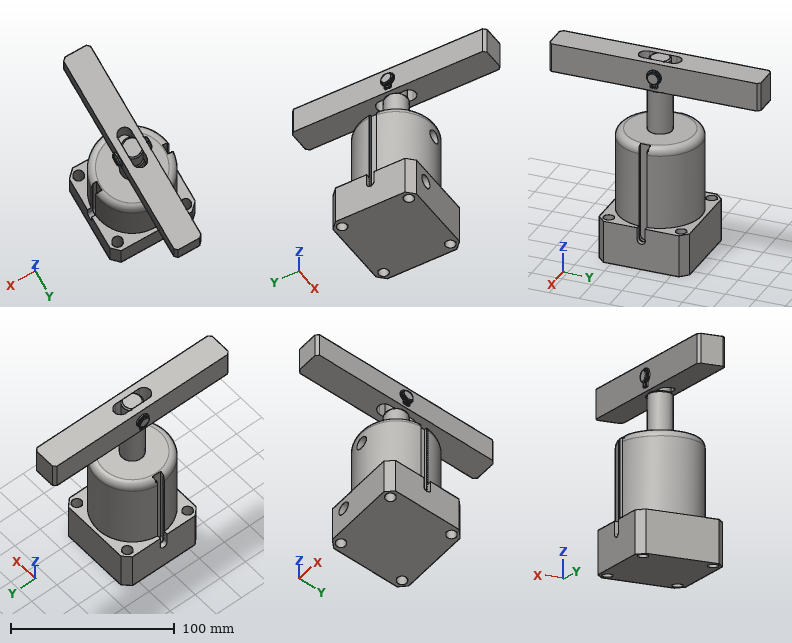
import cadquery as cq

base_width = 60.0
base_height = 28.3
base_chamfer = 5.0
barrel_diameter = 55.0
barrel_radius = barrel_diameter / 2
housing_height = 83.0
barrel_edge_fillet = 5.0
mount_hole_spacing = 48.0
mount_hole_diameter = 7.0

groove_mouth_width = 5.3
groove_inner_width = 6.5
groove_lip_x = 26.2
groove_floor_x = 23.2
groove_bottom_z = 17.5
groove_end_center_z = groove_bottom_z + groove_mouth_width / 2

port_mouth_radius = 4.6
port_end_radius = 4.2
port_depth = 14.0
barrel_port_z = 69.0
base_port_x = -14.0
base_port_z = 19.0

arm_length = 140.0
arm_section = 19.0
arm_chamfer = 2.0
arm_top_z = 132.0
arm_slot_length = 28.0
arm_slot_width = 9.5
pivot_z = arm_top_z - arm_section / 2

rod_radius = 8.0
rod_edge_chamfer = 1.0
rod_shoulder_z = 112.7
tongue_radius = rod_radius - rod_edge_chamfer
tongue_top_z = arm_top_z

pin_radius = 4.0
pin_length = 24.1
pin_chamfer = 0.5
clip_thickness = 1.0
clip_starts_x = (-arm_section / 2 - clip_thickness, arm_section / 2)
clip_inner_radius = 3.8
clip_outer_radius = 4.8
clip_outer_rise = 0.3
clip_ear_half_width = 2.4
clip_ear_reach = 7.1
clip_foot_height = 1.0
clip_ear_corner_radius = 1.0
clip_leg_gap = 2.8
clip_foot_gap = 1.0


def groove_slot(width, start_x, end_x):
    """Vertical slot cutter between two X planes, open at the top, with a half-round bottom end."""
    radius = width / 2
    return (
        cq.Workplane("YZ", origin=(start_x, 0, 0))
        .moveTo(-radius, housing_height)
        .lineTo(-radius, groove_end_center_z)
        .threePointArc((0, groove_end_center_z - radius), (radius, groove_end_center_z))
        .lineTo(radius, housing_height)
        .close()
        .extrude(end_x - start_x)
    )


def sensor_groove(side):
    """T-shaped groove cutter for the +X (side = 1) or -X (side = -1) face."""
    inner = groove_slot(groove_inner_width, groove_floor_x, groove_lip_x)
    mouth = groove_slot(groove_mouth_width, groove_lip_x, base_width / 2)
    groove = inner.union(mouth)
    return groove if side > 0 else groove.mirror("YZ")


def air_port(x, z, face_y):
    """Blind tapered port cutter running in +Y from face_y."""
    cone = cq.Solid.makeCone(
        port_mouth_radius,
        port_end_radius,
        port_depth,
        pnt=cq.Vector(x, face_y, z),
        dir=cq.Vector(0, 1, 0),
    )
    return cq.Workplane(cone)


def make_housing():
    base = (
        cq.Workplane("XY")
        .rect(base_width, base_width)
        .extrude(base_height)
        .edges("|Z")
        .chamfer(base_chamfer)
    )
    barrel = (
        cq.Workplane("XY")
        .circle(barrel_radius)
        .extrude(housing_height)
        .faces(">Z")
        .edges()
        .fillet(barrel_edge_fillet)
    )
    mount_holes = (
        cq.Workplane("XY")
        .rect(mount_hole_spacing, mount_hole_spacing, forConstruction=True)
        .vertices()
        .circle(mount_hole_diameter / 2)
        .extrude(base_height)
    )
    body = base.union(barrel).cut(mount_holes)
    for side in (-1, 1):
        body = body.cut(sensor_groove(side))
    body = body.cut(air_port(0, barrel_port_z, -barrel_radius))
    return body.cut(air_port(base_port_x, base_port_z, -base_width / 2))


def pivot_bore():
    """Cylinder along X that the pin fills."""
    return (
        cq.Workplane("YZ", origin=(-pin_length / 2, 0, pivot_z))
        .circle(pin_radius)
        .extrude(pin_length)
    )


def make_rod():
    shaft = (
        cq.Workplane("XY", origin=(0, 0, housing_height))
        .circle(rod_radius)
        .extrude(rod_shoulder_z - housing_height)
        .faces(">Z")
        .chamfer(rod_edge_chamfer)
    )
    tongue_height = tongue_top_z - rod_shoulder_z
    tongue_round = (
        cq.Workplane("XY", origin=(0, 0, rod_shoulder_z))
        .circle(tongue_radius)
        .extrude(tongue_height)
        .faces(">Z")
        .chamfer(rod_edge_chamfer)
    )
    flats = cq.Workplane("XY").box(
        arm_slot_width, 2 * tongue_radius, tongue_height, centered=(True, True, False)
    )
    tongue = tongue_round.intersect(flats.translate((0, 0, rod_shoulder_z)))
    return shaft.union(tongue).cut(pivot_bore())


def make_arm():
    bar = (
        cq.Workplane("XY", origin=(0, 0, pivot_z))
        .box(arm_section, arm_length, arm_section)
        .edges("|Z")
        .chamfer(arm_chamfer)
    )
    slot = (
        cq.Workplane("XY", origin=(0, 0, arm_top_z - arm_section))
        .slot2D(arm_slot_length, arm_slot_width, 90)
        .extrude(arm_section)
    )
    return bar.cut(slot).cut(pivot_bore())


def make_pin():
    pin = pivot_bore().faces("<X or >X").chamfer(pin_chamfer)
    for start_x in clip_starts_x:
        groove = (
            cq.Workplane("YZ", origin=(start_x, 0, pivot_z))
            .circle(pin_radius)
            .circle(clip_inner_radius)
            .extrude(clip_thickness)
        )
        pin = pin.cut(groove)
    return pin


def make_clip(start_x):
    """Retaining ring in a pin groove, open at the bottom between two hooked ears."""
    plane = cq.Workplane("YZ", origin=(start_x, 0, pivot_z))
    ring = plane.center(0, clip_outer_rise).circle(clip_outer_radius).extrude(clip_thickness)
    ears = (
        plane.center(0, -clip_ear_reach / 2)
        .rect(2 * clip_ear_half_width, clip_ear_reach)
        .extrude(clip_thickness)
        .edges("|X and <Z")
        .fillet(clip_ear_corner_radius)
    )
    leg_gap_depth = clip_ear_reach - clip_foot_height
    leg_gap = (
        plane.center(0, -leg_gap_depth / 2)
        .rect(clip_leg_gap, leg_gap_depth)
        .extrude(clip_thickness)
    )
    foot_gap = (
        plane.center(0, -clip_ear_reach / 2)
        .rect(clip_foot_gap, clip_ear_reach)
        .extrude(clip_thickness)
    )
    bore = plane.circle(clip_inner_radius).extrude(clip_thickness)
    return ring.union(ears).cut(leg_gap).cut(foot_gap).cut(bore)


housing = make_housing()
rod = make_rod()
arm = make_arm()
pin = make_pin()
clips = [make_clip(x) for x in clip_starts_x]

result = cq.Compound.makeCompound(
    [housing.val(), rod.val(), arm.val(), pin.val(), *[clip.val() for clip in clips]]
)